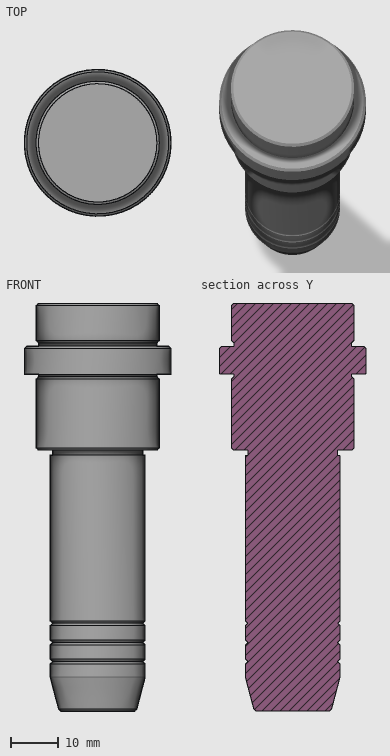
import cadquery as cq

flange_radius = 15.5
head_radius = 13.0
shank_radius = 20.0 / 2
shank_neck_radius = 19.0 / 2
tip_radius = 8.25

total_height = 86.0
head_bottom = 77.7
flange_top = 77.0
flange_bottom = 71.0
body_top = 70.5
body_bottom = 55.0
shank_top = 54.0
taper_top = 7.2

edge_chamfer = 0.5

groove_depth = 0.5
groove_count = 3
groove_pitch = 4.0
first_groove_height = 10.5


def cylinder(radius, bottom, top):
    return cq.Workplane("XY").workplane(offset=bottom).circle(radius).extrude(top - bottom)


def chamfered_cylinder(radius, bottom, top, edges):
    return cylinder(radius, bottom, top).faces(edges).edges().chamfer(edge_chamfer)


def shank():
    """Straight shank with a tapered, chamfered tip."""
    return (
        cq.Workplane("XZ")
        .moveTo(0, 0)
        .lineTo(tip_radius - edge_chamfer, 0)
        .lineTo(tip_radius, edge_chamfer)
        .lineTo(shank_radius, taper_top)
        .lineTo(shank_radius, shank_top)
        .lineTo(0, shank_top)
        .close()
        .revolve(360, (0, 0), (0, 1))
    )


def groove_cutter(height):
    """Ring of triangular section centred on the given height."""
    return (
        cq.Workplane("XZ")
        .moveTo(shank_radius - groove_depth, height)
        .lineTo(flange_radius, height + flange_radius - shank_radius + groove_depth)
        .lineTo(flange_radius, height - flange_radius + shank_radius - groove_depth)
        .close()
        .revolve(360, (0, 0), (0, 1))
    )


result = shank()
for index in range(groove_count):
    result = result.cut(groove_cutter(first_groove_height + index * groove_pitch))

result = result.union(cylinder(shank_neck_radius, shank_top, body_bottom))
result = result.union(chamfered_cylinder(head_radius, body_bottom, body_top, "<Z or >Z"))
result = result.union(cylinder(head_radius - edge_chamfer, body_top, head_bottom))
result = result.union(chamfered_cylinder(flange_radius, flange_bottom, flange_top, ">Z"))
result = result.union(chamfered_cylinder(head_radius, head_bottom, total_height, "<Z or >Z"))